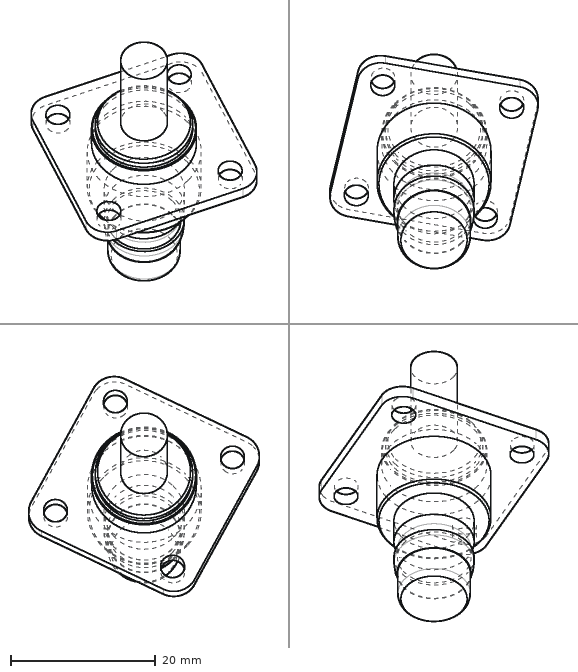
import cadquery as cq

total_height = 44.1
nose_round_top = 1.05
nose_top = 4.9
bulge_bottom = nose_top
bulge_top = 6.95
groove_bottom = 7.95
groove_top = 9.53
groove_taper_top = 10.85
barrel_bottom = 14.9
flange_bottom = 23.5
flange_top = 25.45
boss_top = 28.65
collar_top = 30.08

nose_end_radius = 4.6
nose_radius = 5.03
groove_radius = 5.1
body_radius = 5.55
barrel_radius = 7.9
boss_radius = 7.28
collar_radius = 6.75
shaft_radius = 6.5 / 2

barrel_chamfer_width = 0.25
barrel_chamfer_height = 0.45
boss_chamfer = 0.15
collar_chamfer_width = 0.3
collar_chamfer_height = 0.55

flange_side = 25.4
flange_corner_radius = 3.2
hole_spacing = 18.2
hole_diameter = 3.3


def convex_arc_midpoint(lower_radius, lower_z, upper_radius, upper_z):
    """Midpoint of an arc that meets the vertical wall tangentially at its upper end."""
    width = upper_radius - lower_radius
    height = upper_z - lower_z
    arc_radius = (width**2 + height**2) / (2 * width)
    center_x = upper_radius - arc_radius
    mid_x = (lower_radius + upper_radius) / 2 - center_x
    mid_z = (lower_z + upper_z) / 2 - upper_z
    stretch = arc_radius / (mid_x**2 + mid_z**2) ** 0.5
    return (center_x + mid_x * stretch, upper_z + mid_z * stretch)


def turned_body():
    """Nose, snap groove, barrel, boss, collar and shaft as one revolved profile."""
    nose_mid = convex_arc_midpoint(nose_end_radius, 0, nose_radius, nose_round_top)
    bulge_mid = convex_arc_midpoint(groove_radius, bulge_bottom, body_radius, bulge_top)
    profile = (
        cq.Workplane("XZ")
        .lineTo(nose_end_radius, 0)
        .threePointArc(nose_mid, (nose_radius, nose_round_top))
        .lineTo(nose_radius, nose_top)
        .lineTo(groove_radius, bulge_bottom)
        .threePointArc(bulge_mid, (body_radius, bulge_top))
        .lineTo(body_radius, groove_bottom)
        .lineTo(groove_radius, groove_bottom)
        .lineTo(groove_radius, groove_top)
        .lineTo(body_radius, groove_taper_top)
        .lineTo(body_radius, barrel_bottom)
        .lineTo(barrel_radius - barrel_chamfer_width, barrel_bottom)
        .lineTo(barrel_radius, barrel_bottom + barrel_chamfer_height)
        .lineTo(barrel_radius, flange_bottom)
        .lineTo(boss_radius, flange_bottom)
        .lineTo(boss_radius, boss_top - boss_chamfer)
        .lineTo(boss_radius - boss_chamfer, boss_top)
        .lineTo(collar_radius, boss_top)
        .lineTo(collar_radius, collar_top - collar_chamfer_height)
        .lineTo(collar_radius - collar_chamfer_width, collar_top)
        .lineTo(shaft_radius, collar_top)
        .lineTo(shaft_radius, total_height)
        .lineTo(0, total_height)
        .close()
    )
    return profile.revolve(360, (0, 0, 0), (0, 1, 0))


def flange():
    """Square plate with rounded corners and four through holes."""
    return (
        cq.Workplane("XY", origin=(0, 0, flange_bottom))
        .rect(flange_side, flange_side)
        .extrude(flange_top - flange_bottom)
        .edges("|Z")
        .fillet(flange_corner_radius)
        .faces(">Z")
        .workplane(centerOption="CenterOfBoundBox")
        .rect(hole_spacing, hole_spacing, forConstruction=True)
        .vertices()
        .hole(hole_diameter)
    )


result = turned_body().union(flange())